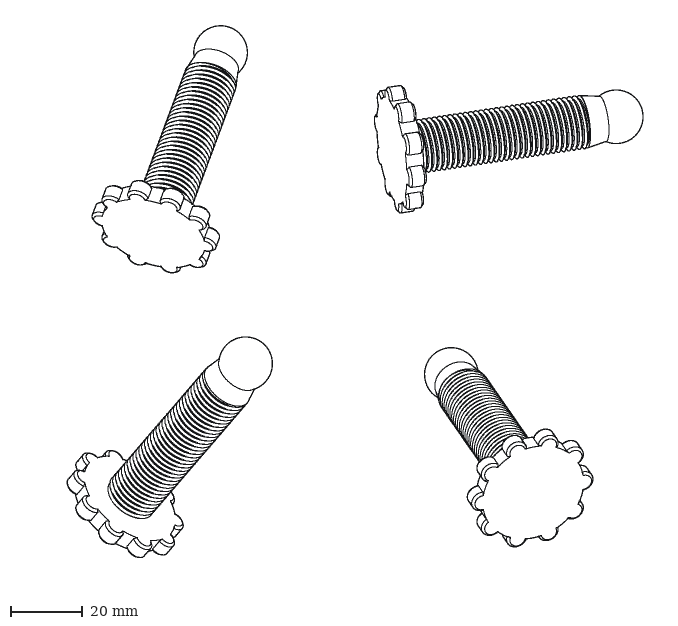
import cadquery as cq
import math

total_length = 72.45
overrun = 7.25

knob_thickness = 5.0
knob_radius = 15.0
lobe_count = 10
lobe_diameter = 6.0
lobe_chamfer = 0.7

thread_diameter = 15.0
core_diameter = 13.1
thread_end = 55.35
thread_turns = 33.5
first_crest = 3.3
tooth_half_angle = 30.0
tooth_root_depth = 0.15

ball_diameter = 15.0
collar_base_diameter = 14.85
collar_neck_diameter = 12.75

core_radius = core_diameter / 2
crest_radius = thread_diameter / 2
thread_length = thread_end - knob_thickness
pitch = thread_length / thread_turns
ball_radius = ball_diameter / 2
ball_center = total_length - ball_radius
neck_radius = collar_neck_diameter / 2
neck_position = ball_center - math.sqrt(ball_radius**2 - neck_radius**2)


def cylinder_along_y(diameter, start, end):
    """Cylinder on the screw axis from Y = start to Y = end."""
    plane = cq.Workplane("XZ", origin=(0, start, 0))
    return plane.circle(diameter / 2).extrude(start - end)


def make_knob():
    knob = cylinder_along_y(2 * knob_radius, 0, knob_thickness)
    lobe = (
        cylinder_along_y(lobe_diameter, 0, knob_thickness)
        .edges("%CIRCLE")
        .chamfer(lobe_chamfer)
        .translate((knob_radius, 0, 0))
    )
    for index in range(lobe_count):
        angle = index * 360 / lobe_count
        knob = knob.union(lobe.rotate((0, 0, 0), (0, 1, 0), angle))
    return knob


def make_thread_ridge():
    """Helical vee ridge, starting inside the knob and overrunning the collar."""
    base_radius = core_radius - tooth_root_depth
    half_base = (crest_radius - base_radius) * math.tan(math.radians(tooth_half_angle))
    helix = cq.Wire.makeHelix(pitch, thread_end - first_crest + pitch, base_radius)
    return (
        cq.Workplane("XZ")
        .moveTo(base_radius, -half_base)
        .lineTo(crest_radius, 0)
        .lineTo(base_radius, half_base)
        .close()
        .sweep(cq.Workplane(helix), isFrenet=True)
        .rotate((0, 0, 0), (1, 0, 0), -90)
        .translate((0, first_crest, 0))
    )


def make_threaded_shank():
    """Core and ridge joined over length, then cut off flat at the collar."""
    core = cylinder_along_y(core_diameter, 0, thread_end + overrun)
    envelope = cylinder_along_y(thread_diameter + overrun, 0, thread_end)
    return core.union(make_thread_ridge()).intersect(envelope)


def make_ball_end():
    """Turned collar narrowing to the neck, with the ball on top."""
    half_profile = (
        cq.Workplane("XY")
        .moveTo(0, thread_end)
        .lineTo(collar_base_diameter / 2, thread_end)
        .lineTo(neck_radius, neck_position)
        .threePointArc((ball_radius, ball_center), (0, total_length))
        .close()
    )
    return half_profile.revolve(360, (0, 0, 0), (0, 1, 0))


result = make_threaded_shank().union(make_ball_end()).union(make_knob())